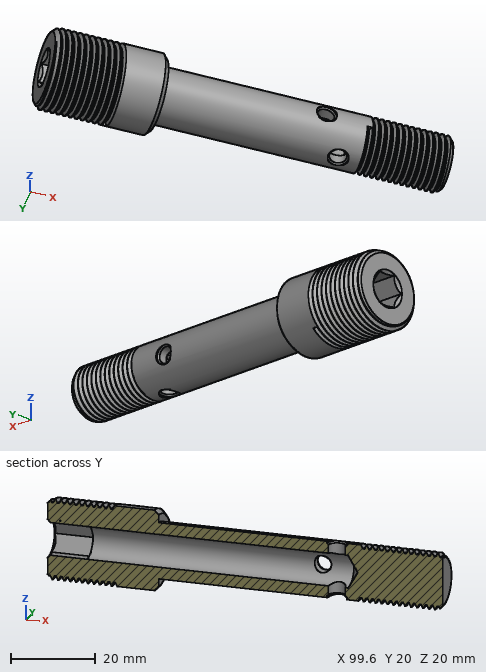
import cadquery as cq
import math

length = 99.6
head_diameter = 20.0
head_length = 28.1
shaft_diameter = 14.0
edge_chamfer = 1.1
head_end_chamfer = 1.2

pitch = 1.5
thread_form_angle = 60.0
groove_depth = 0.92
crest_width = pitch / 8
cutter_overlap = 0.1
bar_allowance = 10.0
head_thread_end = 17.1
head_thread_turns = 13
head_thread_angle = 45.0
shaft_thread_start = 78.6
shaft_thread_turns = 15
shaft_thread_angle = -80.0

socket_width = 8.0
socket_depth = 10.0
socket_mouth_diameter = 9.6
bore_diameter = socket_width
bore_depth = 75.7
drill_point_angle = 118.0
cross_hole_diameter = 4.2
cross_hole_chamfer = 0.4
y_hole_x = 67.9
z_hole_x = 72.9


def turned_head():
    head = cq.Workplane("YZ").circle(head_diameter / 2).extrude(head_length)
    return head.faces("<X").chamfer(head_end_chamfer).faces(">X").chamfer(edge_chamfer)


def turned_shaft():
    shaft = cq.Workplane("YZ").circle(shaft_diameter / 2).extrude(length)
    return shaft.faces(">X").chamfer(edge_chamfer)


def thread_cutter(diameter, start_x, turns, angle):
    """Helical V groove; angle turns its ends about X, starting from -Z."""
    outer_radius = diameter / 2 + cutter_overlap
    root_radius = diameter / 2 - groove_depth
    flank_slope = math.tan(math.radians(thread_form_angle / 2))
    outer_half_width = (pitch - crest_width) / 2 + cutter_overlap * flank_slope
    root_half_width = outer_half_width - (outer_radius - root_radius) * flank_slope
    helix = cq.Workplane(cq.Wire.makeHelix(pitch, turns * pitch, root_radius))
    groove = (
        cq.Workplane("XZ")
        .moveTo(root_radius, -root_half_width)
        .lineTo(outer_radius, -outer_half_width)
        .lineTo(outer_radius, outer_half_width)
        .lineTo(root_radius, root_half_width)
        .close()
        .sweep(helix, isFrenet=True)
    )
    groove = groove.rotate((0, 0, 0), (0, 1, 0), 90).rotate((0, 0, 0), (1, 0, 0), angle)
    return groove.translate((start_x, 0, 0))


def threaded(turned, diameter, start_x, turns, angle):
    """Thread a bar that is longer than the turned part, then trim it to that part."""
    bar = cq.Workplane("YZ").workplane(offset=-bar_allowance).circle(diameter / 2)
    bar = bar.extrude(length + 2 * bar_allowance)
    return bar.cut(thread_cutter(diameter, start_x, turns, angle)).intersect(turned)


def hexagon_socket():
    """Hexagon with two corners on the Y axis and a 45 degree lead-in at its mouth."""
    corner_diameter = socket_width / math.cos(math.pi / 6)
    hexagon = cq.Workplane("YZ").polygon(6, corner_diameter).extrude(socket_depth)
    mouth_radius = socket_mouth_diameter / 2
    lead_in = cq.Workplane("XY").lineTo(0, mouth_radius).lineTo(mouth_radius, 0).close()
    return hexagon.union(lead_in.revolve(360, (0, 0, 0), (1, 0, 0)))


def axial_bore():
    """Round bore from the bottom of the socket to its drill point."""
    radius = bore_diameter / 2
    point_length = radius / math.tan(math.radians(drill_point_angle / 2))
    return (
        cq.Workplane("XY")
        .moveTo(socket_depth, 0)
        .lineTo(socket_depth, radius)
        .lineTo(bore_depth, radius)
        .lineTo(bore_depth + point_length, 0)
        .close()
        .revolve(360, (0, 0, 0), (1, 0, 0))
    )


def cross_hole(x):
    """Through hole along Z, countersunk at both ends."""
    radius = cross_hole_diameter / 2
    mouth_radius = radius + cross_hole_chamfer
    half_shaft = shaft_diameter / 2
    mouth_height = math.sqrt(half_shaft**2 - mouth_radius**2)
    half_profile = (
        cq.Workplane("XZ")
        .lineTo(radius, 0)
        .lineTo(radius, mouth_height - cross_hole_chamfer)
        .lineTo(mouth_radius, mouth_height)
        .lineTo(mouth_radius, half_shaft)
        .lineTo(0, half_shaft)
        .close()
    )
    half_hole = half_profile.revolve(360, (0, 0, 0), (0, 1, 0))
    return half_hole.union(half_hole.mirror("XY")).translate((x, 0, 0))


head_thread_start = head_thread_end - head_thread_turns * pitch
head = threaded(turned_head(), head_diameter, head_thread_start, head_thread_turns, head_thread_angle)
shaft = threaded(turned_shaft(), shaft_diameter, shaft_thread_start, shaft_thread_turns, shaft_thread_angle)
result = (
    head.union(shaft)
    .cut(hexagon_socket())
    .cut(axial_bore())
    .cut(cross_hole(z_hole_x))
    .cut(cross_hole(y_hole_x).rotate((0, 0, 0), (1, 0, 0), 90))
    .solids()
)